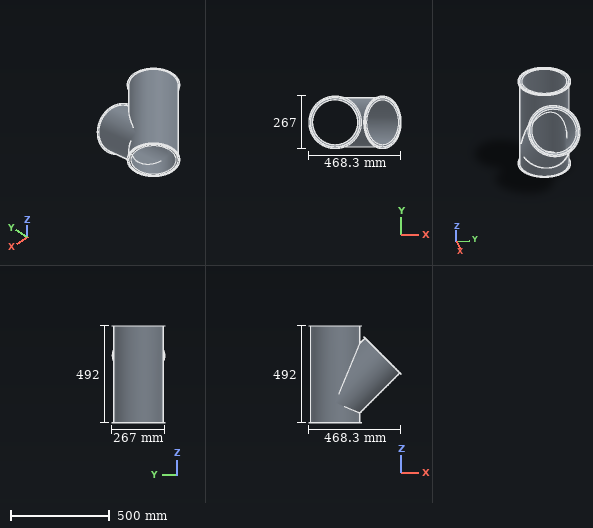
import cadquery as cq

main_length = 492.0
flange_diameter = 267.0
shell_outer_diameter = 252.0
shell_inner_diameter = 248.0
bore_diameter = 228.0
flange_thickness = 2.0

branch_angle = 45.0
branch_height = 102.0
branch_length = 340.0

branch_plane = cq.Workplane("XY").transformed(
    offset=(0, 0, branch_height), rotate=(0, branch_angle, 0)
)


def main_disc(diameter, length, start=0.0):
    """Solid cylinder along the main axis."""
    return cq.Workplane("XY").workplane(offset=start).circle(diameter / 2).extrude(length)


def branch_disc(diameter, length, start=0.0):
    """Solid cylinder along the branch axis, measured from the axis crossing."""
    return branch_plane.workplane(offset=start).circle(diameter / 2).extrude(length)


def wye(diameter):
    """Solid Y of equal main and branch diameters; the branch starts inside the main pipe.

    The mitre between the two cylinders is flat because their diameters match.
    """
    return main_disc(diameter, main_length).union(branch_disc(diameter, branch_length))


def make_shell():
    """Thin outer Y pipe with a flange at each of its three ends."""
    shell = wye(shell_outer_diameter)
    for start in (0.0, main_length - flange_thickness):
        shell = shell.union(main_disc(flange_diameter, flange_thickness, start))
    branch_flange_start = branch_length - flange_thickness
    shell = shell.union(branch_disc(flange_diameter, flange_thickness, branch_flange_start))
    return shell.cut(wye(shell_inner_diameter))


def make_liner():
    """Thick Y lining that fills the shell, flush with its open ends."""
    return wye(shell_inner_diameter).cut(wye(bore_diameter))


shell = make_shell()
liner = make_liner()

result = cq.Compound.makeCompound([shell.solids().val(), liner.solids().val()])